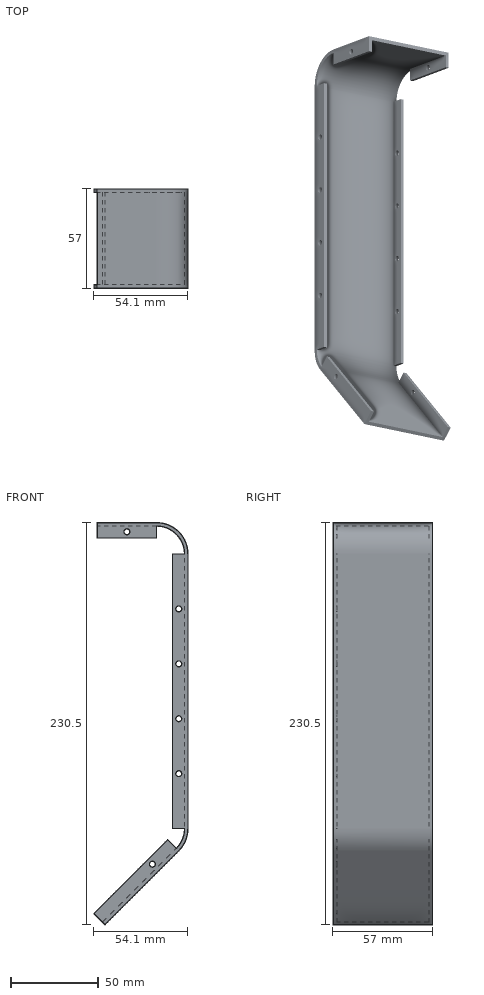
import cadquery as cq
import math

height = 230.5
width = 57.0
sheet = 2.0
bend_radius = 18.0
flange_depth = 9.0
flange_thickness = sheet

top_length = 34.0
lower_length = 60.0
lower_angle = 45.0
lower_sin = math.sin(math.radians(lower_angle))
lower_cos = math.cos(math.radians(lower_angle))
lower_drop = bend_radius * lower_sin + lower_length * lower_cos
middle_length = height - bend_radius - lower_drop

hole_diameter = 3.2
hole_depth = 5.3
lower_hole_offset = 16.1
middle_hole_count = 4
middle_hole_pitch = middle_length / (middle_hole_count + 1)

bend_center_x = -bend_radius
upper_bend_z = height - bend_radius
lower_bend_z = upper_bend_z - middle_length


def bend_point(center_z, radius, angle):
    """Point on a bend arc; the angle is measured from +X towards +Z."""
    turn = math.radians(angle)
    return bend_center_x + radius * math.cos(turn), center_z + radius * math.sin(turn)


def bent_sheet():
    """The full-width sheet: top panel, bend, middle panel, bend, lower panel."""
    inner_radius = bend_radius - sheet
    free_end_x = bend_center_x - top_length
    lower_outer = bend_point(lower_bend_z, bend_radius, -lower_angle)
    lower_inner = bend_point(lower_bend_z, inner_radius, -lower_angle)
    run_x = -lower_length * lower_sin
    run_z = -lower_length * lower_cos
    return (
        cq.Workplane("XZ")
        .moveTo(free_end_x, height)
        .lineTo(bend_center_x, height)
        .threePointArc(bend_point(upper_bend_z, bend_radius, 45), (0, upper_bend_z))
        .lineTo(0, lower_bend_z)
        .threePointArc(bend_point(lower_bend_z, bend_radius, -lower_angle / 2), lower_outer)
        .lineTo(lower_outer[0] + run_x, lower_outer[1] + run_z)
        .lineTo(lower_inner[0] + run_x, lower_inner[1] + run_z)
        .lineTo(*lower_inner)
        .threePointArc(bend_point(lower_bend_z, inner_radius, -lower_angle / 2), (-sheet, lower_bend_z))
        .lineTo(-sheet, upper_bend_z)
        .threePointArc(bend_point(upper_bend_z, inner_radius, 45), (bend_center_x, height - sheet))
        .lineTo(free_end_x, height - sheet)
        .close()
        .extrude(width / 2, both=True)
    )


def flange_pair(start, direction, length, hole_offsets):
    """Two drilled side flanges along a panel.

    start is on the panel's outer face and direction points along the panel.
    """
    plane = cq.Plane(
        origin=(start[0], 0, start[1]),
        xDir=(direction[0], 0, direction[1]),
        normal=(0, -1, 0),
    )
    blank = cq.Workplane(plane).rect(length, -flange_depth, centered=False).extrude(width / 2, both=True)
    gap = (
        cq.Workplane(plane)
        .rect(length, -flange_depth, centered=False)
        .extrude(width / 2 - flange_thickness, both=True)
    )
    holes = (
        cq.Workplane(plane)
        .pushPoints([(offset, -hole_depth) for offset in hole_offsets])
        .circle(hole_diameter / 2)
        .extrude(width, both=True)
    )
    return blank.cut(gap).cut(holes)


top_flanges = flange_pair(
    (bend_center_x - top_length, height), (1, 0), top_length, [top_length / 2]
)
middle_flanges = flange_pair(
    (0, upper_bend_z),
    (0, -1),
    middle_length,
    [middle_hole_pitch * (index + 1) for index in range(middle_hole_count)],
)
lower_flanges = flange_pair(
    bend_point(lower_bend_z, bend_radius, -lower_angle),
    (-lower_sin, -lower_cos),
    lower_length,
    [lower_hole_offset],
)

result = bent_sheet().union(top_flanges).union(middle_flanges).union(lower_flanges)